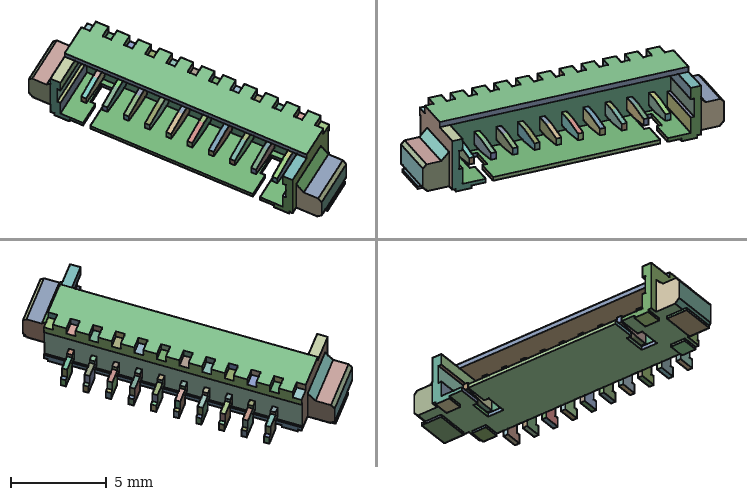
import cadquery as cq


TOTAL_LENGTH = 17.25
TOTAL_DEPTH = 5.42
TOTAL_HEIGHT = 3.4
STANDOFF = 0.15

PIN_COUNT = 10
PIN_ROW_SPAN = 11.25
PITCH = PIN_ROW_SPAN / (PIN_COUNT - 1)
PIN_WIDTH = 0.3
PIN_POSITIONS = [-PIN_ROW_SPAN / 2 + i * PITCH for i in range(PIN_COUNT)]

HOUSING_LENGTH = 14.25
HOUSING_DEPTH = 4.17
SIDE_WALL = 0.59
FLOOR_TOP = 0.38
CEILING = 3.09
CAVITY_DEPTH = 3.0
ROOF_FRONT = 1.6
CAVITY_LENGTH = HOUSING_LENGTH - 2 * SIDE_WALL

GROOVE_DEPTH = 0.19
GROOVE_BOTTOM = 1.31
GROOVE_TOP = 2.4

NOTCH_WIDTH = 0.5
NOTCH_DEPTH = 0.67
NOTCH_HEIGHT = 0.47

RECESS_DEPTH = 0.1
RECESS_BOTTOM = 0.45
RECESS_TOP = 2.48

SLOT_CENTRE = PIN_ROW_SPAN / 2 - PITCH / 2
SLOT_WIDTH = 0.41
SLOT_HEAD_WIDTH = 1.0
SLOT_HEAD_FRONT = 1.4
SLOT_HEAD_BACK = 2.69

FOOT_INNER = 6.02
FOOT_WIDTH = 0.9
FOOT_DEPTH = 0.97

WING_FRONT = 0.41
WING_BACK = 3.2
WING_TOP = 1.78
WING_FILLER = 0.45
WING_TOP_CHAMFER = 0.2
WING_BOTTOM_CHAMFER = 0.26
TAB_FRONT = 1.07
TAB_BACK = 3.07
TAB_LENGTH = 1.28

PIN_BOTTOM = 0.72
PIN_TOP = 1.48
PIN_TIP = 0.88
PIN_TAPER_START = 2.19
PIN_TIP_BOTTOM = 0.9
PIN_TIP_TOP = 1.3
LEG_FRONT = 4.4
LEG_BACK = 5.21
LEG_TOP = 1.25
SOLDER_FOOT_TOP = 0.57


def block(x_range, y_range, z_range):
    """Axis-aligned box between the given limits."""
    (x0, x1), (y0, y1), (z0, z1) = x_range, y_range, z_range
    return cq.Workplane("XY").box(x1 - x0, y1 - y0, z1 - z0, centered=False).translate((x0, y0, z0))


def centred(middle, width):
    """Limits of a width placed evenly about a middle position."""
    return (middle - width / 2, middle + width / 2)


def make_shell():
    full_length = centred(0, HOUSING_LENGTH)
    shell = block(full_length, (0, HOUSING_DEPTH), (STANDOFF, TOTAL_HEIGHT))
    shell = shell.cut(block(full_length, (0, ROOF_FRONT), (CEILING, TOTAL_HEIGHT)))
    shell = shell.cut(block(centred(0, CAVITY_LENGTH), (0, CAVITY_DEPTH), (FLOOR_TOP, CEILING)))
    grooves = block(
        centred(0, CAVITY_LENGTH + 2 * GROOVE_DEPTH), (0, CAVITY_DEPTH), (GROOVE_BOTTOM, GROOVE_TOP)
    )
    recess = block(full_length, (HOUSING_DEPTH - RECESS_DEPTH, HOUSING_DEPTH), (RECESS_BOTTOM, RECESS_TOP))
    return shell.cut(grooves).cut(recess)


def cut_notches(body):
    end_notch = HOUSING_LENGTH / 2 - NOTCH_WIDTH / 2
    for x in [-end_notch, *PIN_POSITIONS, end_notch]:
        body = body.cut(block(
            centred(x, NOTCH_WIDTH),
            (HOUSING_DEPTH - NOTCH_DEPTH, HOUSING_DEPTH),
            (TOTAL_HEIGHT - NOTCH_HEIGHT, TOTAL_HEIGHT),
        ))
    return body


def cut_floor_slots(body):
    floor = (STANDOFF, FLOOR_TOP)
    for x in (-SLOT_CENTRE, SLOT_CENTRE):
        body = body.cut(block(centred(x, SLOT_WIDTH), (0, SLOT_HEAD_FRONT), floor))
        body = body.cut(block(centred(x, SLOT_HEAD_WIDTH), (SLOT_HEAD_FRONT, SLOT_HEAD_BACK), floor))
    return body


def make_right_side_parts():
    """Feet, wing and solder tab at the +X end."""
    foot_x = (FOOT_INNER, FOOT_INNER + FOOT_WIDTH)
    front_foot = block(foot_x, (0, FOOT_DEPTH), (0, STANDOFF))
    rear_foot = block(foot_x, (HOUSING_DEPTH - FOOT_DEPTH, HOUSING_DEPTH), (0, STANDOFF))

    inner = HOUSING_LENGTH / 2
    outer = TOTAL_LENGTH / 2
    wing_outline = [
        (inner, STANDOFF),
        (outer - WING_BOTTOM_CHAMFER, STANDOFF),
        (outer, STANDOFF + WING_BOTTOM_CHAMFER),
        (outer, WING_TOP - WING_TOP_CHAMFER),
        (outer - WING_TOP_CHAMFER, WING_TOP),
        (inner + WING_FILLER, WING_TOP),
        (inner, WING_TOP + WING_FILLER),
    ]
    wing = (
        cq.Workplane("XZ", origin=(0, WING_BACK, 0))
        .polyline(wing_outline).close()
        .extrude(WING_BACK - WING_FRONT)
    )
    tab = block((outer - TAB_LENGTH, outer), (TAB_FRONT, TAB_BACK), (0, STANDOFF))
    return [front_foot, rear_foot, wing, tab]


def make_pin(x):
    side_outline = [
        (PIN_TIP, PIN_TIP_BOTTOM),
        (PIN_TAPER_START, PIN_BOTTOM),
        (LEG_FRONT, PIN_BOTTOM),
        (LEG_FRONT, 0),
        (TOTAL_DEPTH, 0),
        (TOTAL_DEPTH, SOLDER_FOOT_TOP),
        (LEG_BACK, SOLDER_FOOT_TOP),
        (LEG_BACK, LEG_TOP),
        (LEG_FRONT, LEG_TOP),
        (LEG_FRONT, PIN_TOP),
        (PIN_TAPER_START, PIN_TOP),
        (PIN_TIP, PIN_TIP_TOP),
    ]
    left_face, _ = centred(x, PIN_WIDTH)
    return (
        cq.Workplane("YZ", origin=(left_face, 0, 0))
        .polyline(side_outline).close()
        .extrude(PIN_WIDTH)
    )


result = cut_floor_slots(cut_notches(make_shell()))
for side_part in make_right_side_parts():
    result = result.union(side_part).union(side_part.mirror("YZ"))
for pin_x in PIN_POSITIONS:
    result = result.union(make_pin(pin_x))